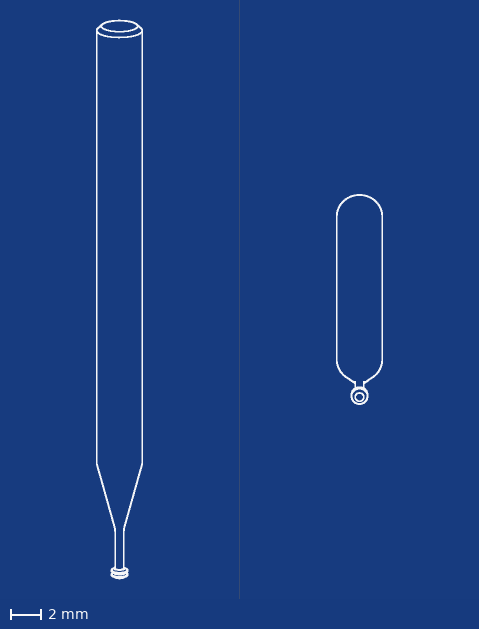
import cadquery as cq
import math

total_length = 38.0
shank_radius = 3.0 / 2
neck_radius = 0.293
head_radius = 1.05 / 2
head_tip_radius = 0.57 / 2

end_chamfer = 0.3
shoulder_height = 7.83
cone_half_angle = math.radians(15)
blend_radius = 1.4
blend_length = blend_radius * math.sin(cone_half_angle)

root_radius = 0.72 / 2
ridge_pitch = 0.285
crest_width = 0.057
root_width = 0.05
first_crest_height = 0.17
head_height = 0.6
crest_heights = [first_crest_height, first_crest_height + ridge_pitch]
groove_height = sum(crest_heights) / 2

cone_end_radius = neck_radius + blend_radius * (1 - math.cos(cone_half_angle))
cone_end_height = shoulder_height - (shank_radius - cone_end_radius) / math.tan(cone_half_angle)
blend_start_height = cone_end_height - blend_length
half_blend_angle = cone_half_angle / 2
blend_middle = (
    neck_radius + blend_radius * (1 - math.cos(half_blend_angle)),
    blend_start_height + blend_radius * math.sin(half_blend_angle),
)

profile = (
    cq.Workplane("XZ")
    .moveTo(0, 0)
    .lineTo(head_tip_radius, 0)
    .lineTo(head_radius, crest_heights[0] - crest_width / 2)
    .lineTo(head_radius, crest_heights[0] + crest_width / 2)
    .lineTo(root_radius, groove_height - root_width / 2)
    .lineTo(root_radius, groove_height + root_width / 2)
    .lineTo(head_radius, crest_heights[1] - crest_width / 2)
    .lineTo(head_radius, crest_heights[1] + crest_width / 2)
    .lineTo(root_radius, head_height)
    .lineTo(neck_radius, head_height)
    .lineTo(neck_radius, blend_start_height)
    .threePointArc(blend_middle, (cone_end_radius, cone_end_height))
    .lineTo(shank_radius, shoulder_height)
    .lineTo(shank_radius, total_length - end_chamfer)
    .lineTo(shank_radius - end_chamfer, total_length)
    .lineTo(0, total_length)
    .close()
)

result = profile.revolve(360, (0, 0, 0), (0, 1, 0))